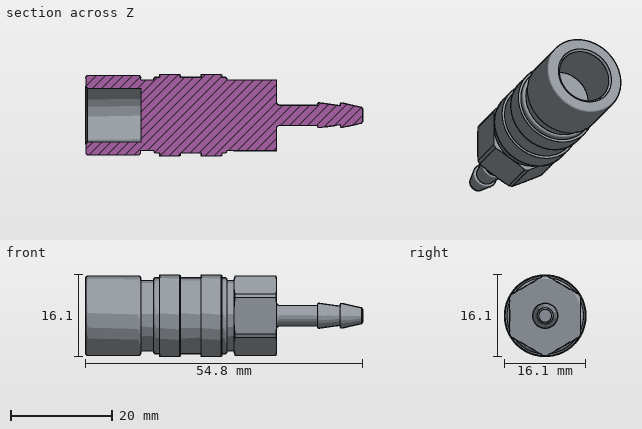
import cadquery as cq
import math

total_length = 54.8
sleeve_end = 10.9
collar_start = 13.4
front_band_start = 14.65
band_width = 4.1
band_gap = 4.1
collar_end = 27.95
hex_start = 29.35
hex_end = 37.75
front_band_end = front_band_start + band_width
rear_band_start = front_band_end + band_gap
rear_band_end = rear_band_start + band_width

sleeve_diameter = 15.8
neck_diameter = 14.0
collar_diameter = 15.1
band_diameter = 16.15

sleeve_round = 0.5
collar_round = 0.5
band_chamfer = 0.15

hex_across_flats = neck_diameter
hex_corner_diameter = sleeve_diameter
hex_chamfer_depth = 0.15
hex_chamfer_face_diameter = 14.45

bore_diameter = 10.6
bore_mouth_diameter = 11.4
bore_depth = sleeve_end

stem_diameter = 4.05
stem_root_fillet = 0.6
barb_diameter = 5.1
barb_starts = (45.8, 50.3)
barb_round = 0.35
waist_diameter = 3.85
tip_diameter = 3.05
tip_chamfer = 0.3


def disc(start, end, diameter):
    """Cylinder on the X axis between two positions."""
    return cq.Workplane("YZ", origin=(start, 0, 0)).circle(diameter / 2).extrude(end - start)


def cone(start, end, start_diameter, end_diameter):
    """Truncated cone on the X axis between two positions."""
    outline = [
        (start, 0),
        (start, start_diameter / 2),
        (end, end_diameter / 2),
        (end, 0),
    ]
    return cq.Workplane("XY").polyline(outline).close().revolve(360, (0, 0, 0), (1, 0, 0))


def make_body():
    """Sleeve, neck and collar with two raised bands, each chamfered at its rear end."""
    neck = disc(0, hex_start, neck_diameter)
    sleeve = disc(0, sleeve_end, sleeve_diameter).faces("<X or >X").fillet(sleeve_round)
    collar = disc(collar_start, collar_end, collar_diameter).faces("<X or >X").fillet(collar_round)
    body = neck.union(sleeve).union(collar)
    for start, end in ((front_band_start, front_band_end), (rear_band_start, rear_band_end)):
        band = disc(start, end, band_diameter).faces(">X").chamfer(band_chamfer)
        body = body.union(band)
    return body


def make_hexagon():
    """Hexagon with corners up and down, its corners turned round and its ends chamfered."""
    corner_to_corner = hex_across_flats / math.cos(math.radians(30))
    length = hex_end - hex_start
    prism = (
        cq.Workplane("YZ", origin=(hex_start, 0, 0))
        .transformed(rotate=(0, 0, 90))
        .polygon(6, corner_to_corner)
        .extrude(length)
    )
    blank = disc(hex_start, hex_end, hex_corner_diameter)
    chamfer_height = (hex_corner_diameter - hex_chamfer_face_diameter) / 2
    turning = blank.faces("<X or >X").chamfer(hex_chamfer_depth, chamfer_height)
    return prism.intersect(turning)


def make_stem():
    """Hose stem with a filleted root, two tapered barbs and a chamfered tip."""
    root_diameter = stem_diameter + 2 * stem_root_fillet
    root_section = (
        cq.Workplane("XY")
        .moveTo(hex_end, 0)
        .lineTo(hex_end, root_diameter / 2)
        .radiusArc((hex_end + stem_root_fillet, stem_diameter / 2), -stem_root_fillet)
        .lineTo(hex_end + stem_root_fillet, 0)
        .close()
    )
    root = root_section.revolve(360, (0, 0, 0), (1, 0, 0))
    stem = root.union(disc(hex_end, barb_starts[0], stem_diameter))
    taper_ends = (barb_starts[1], total_length)
    for start, end, end_diameter in zip(barb_starts, taper_ends, (waist_diameter, tip_diameter)):
        barb = cone(start, end, barb_diameter, end_diameter).faces("<X").fillet(barb_round)
        stem = stem.union(barb)
    return stem.faces(">X").chamfer(tip_chamfer)


def make_socket():
    """Blind bore with a chamfered mouth."""
    mouth_chamfer = (bore_mouth_diameter - bore_diameter) / 2
    bore = disc(0, bore_depth, bore_diameter)
    return bore.union(cone(0, mouth_chamfer, bore_mouth_diameter, bore_diameter))


result = make_body().union(make_hexagon()).union(make_stem()).cut(make_socket())